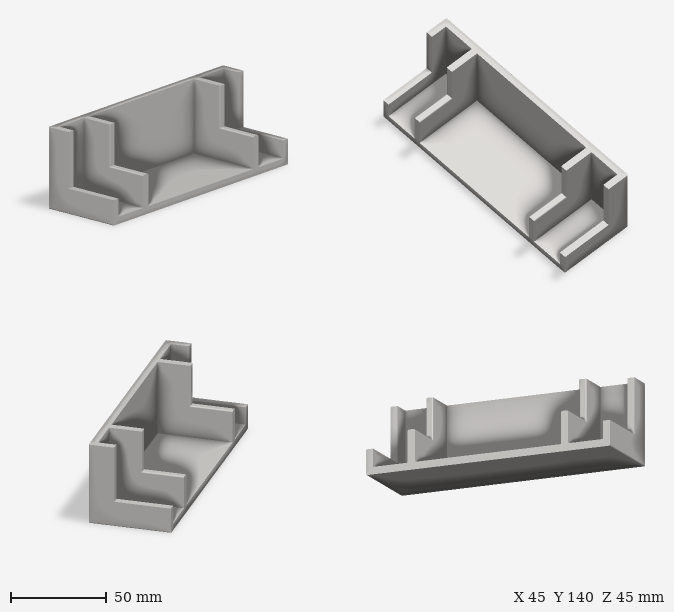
import cadquery as cq

length = 140.0
leg = 45.0
wall = 4.0
end_leg = 14.0
rib_leg = 22.0
rib_offset = 24.0
edge_radius = 0.7


def l_plate(leg_width, y_start, thickness):
    """L-shaped plate lying in XZ, extruded along +Y from y_start."""
    outline = [
        (0, 0),
        (leg, 0),
        (leg, leg_width),
        (leg_width, leg_width),
        (leg_width, leg),
        (0, leg),
    ]
    return cq.Workplane("XZ", origin=(0, y_start, 0)).polyline(outline).close().extrude(-thickness)


def rib(y_start):
    """L-shaped rib with both long inner edges rounded on each face."""
    plate = l_plate(rib_leg, y_start, wall)
    leg_middle = (rib_leg + leg) / 2
    for y in (y_start, y_start + wall):
        upright_edge = cq.selectors.NearestToPointSelector((rib_leg, y, leg_middle))
        level_edge = cq.selectors.NearestToPointSelector((leg_middle, y, rib_leg))
        plate = plate.edges(upright_edge + level_edge).fillet(edge_radius)
    return plate


body = l_plate(wall, 0, length)

for y_start in (0, length - wall):
    body = body.union(l_plate(end_leg, y_start, wall))

for y_start in (rib_offset, length - rib_offset - wall):
    body = body.union(rib(y_start))

back_edges = body.faces("<X").edges("not >Z")
end_floor_edges = body.faces("<Z").edges("|X")
body = body.newObject(back_edges.vals() + end_floor_edges.vals()).fillet(edge_radius)

result = body